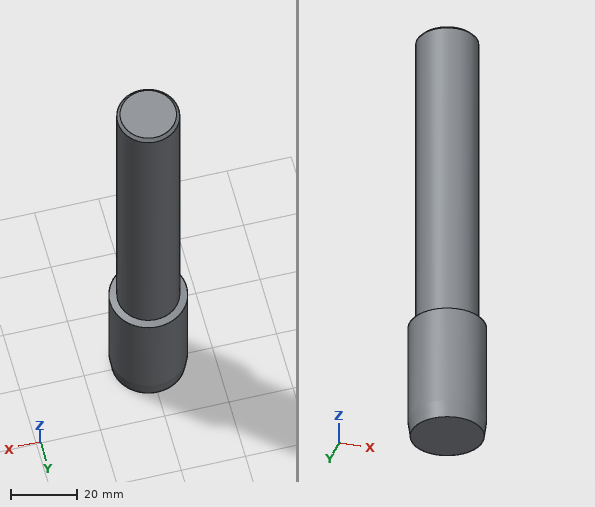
import cadquery as cq

TOTAL_HEIGHT = 140.0

SHANK_DIAMETER = 19.05
SHANK_CHAMFER = 1.0

HEAD_DIAMETER = 23.82
HEAD_HEIGHT = 38.5
HEAD_TOP_SLOPE_RISE = 0.4
LEAD_IN_LENGTH = 5.2
LEAD_IN_DIAMETER = 22.4

shank_radius = SHANK_DIAMETER / 2
shank_length = TOTAL_HEIGHT - HEAD_HEIGHT
head_radius = HEAD_DIAMETER / 2
lead_in_radius = LEAD_IN_DIAMETER / 2
head_shoulder_height = HEAD_HEIGHT - HEAD_TOP_SLOPE_RISE


def make_shank():
    """Round bar standing on the flat top of the head, chamfered at its upper end."""
    bar = cq.Workplane("XY").workplane(offset=HEAD_HEIGHT).circle(shank_radius).extrude(shank_length)
    return bar.faces(">Z").chamfer(SHANK_CHAMFER)


def make_head():
    """Solid head revolved about Z: lead-in taper below, top rim sloping up to the shank."""
    half_section = (
        cq.Workplane("XZ")
        .lineTo(lead_in_radius, 0)
        .lineTo(head_radius, LEAD_IN_LENGTH)
        .lineTo(head_radius, head_shoulder_height)
        .lineTo(shank_radius, HEAD_HEIGHT)
        .lineTo(0, HEAD_HEIGHT)
        .close()
    )
    return half_section.revolve(360, (0, 0, 0), (0, 1, 0))


shank = make_shank()
head = make_head()

result = cq.Compound.makeCompound([shank.val(), head.val()])